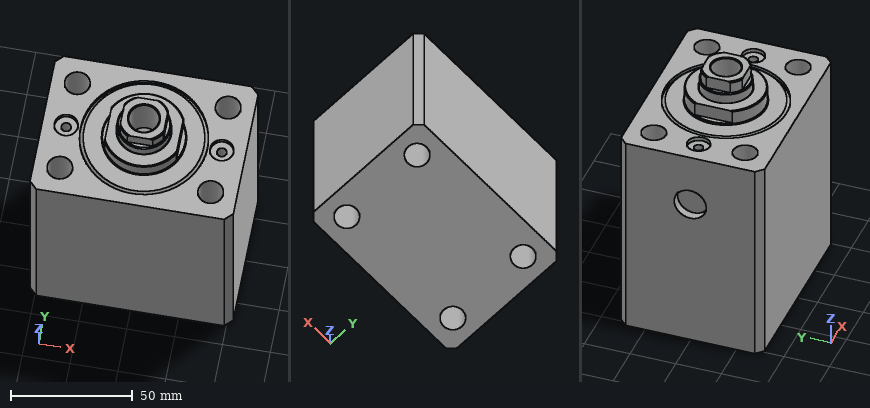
import cadquery as cq
import math

block_length = 85.0
block_width = 63.0
block_height = 93.0
block_corner_chamfer = 3.2

mount_spacing_x = 63.0
mount_spacing_y = 40.0
mount_hole_diameter = 10.5

top_port_spacing = 65.0
top_port_recess_diameter = 9.8
top_port_recess_depth = 1.8
top_port_drill_diameter = 4.0
top_port_total_depth = 10.0

side_port_diameter = 14.0
side_port_depth = 4.0
side_port_drop = 23.9

groove_diameter = 53.0
groove_width = 1.5

shaft_diameter = 35.0
shaft_depth = 20.0
shaft_edge_chamfer = 0.4
collar_diameter = 34.2
collar_top = 6.8
collar_flat_width = 30.0
collar_flat_bottom = 0.8
collar_edge_chamfer = 0.4
insert_hole_countersink = 0.4

neck_diameter = 22.2
neck_top = 11.3
neck_edge_chamfer = 0.5
insert_depth = 14.0
head_top = 16.9
head_square = 18.2
head_corner_diameter = 21.0
head_edge_chamfer = 0.5

socket_diameter = 12.6
socket_rim_chamfer = 0.4
socket_depth = 20.0
socket_tip_angle = 118.0


def axis_cylinder(diameter, bottom, top):
    """Cylinder on the rod axis between two heights above the housing top."""
    return (
        cq.Workplane("XY", origin=(0, 0, block_height + bottom))
        .circle(diameter / 2)
        .extrude(top - bottom)
    )


def axis_bar(size_x, size_y, bottom, top):
    """Rectangular bar on the rod axis between two heights above the housing top."""
    return (
        cq.Workplane("XY", origin=(0, 0, block_height + bottom))
        .rect(size_x, size_y)
        .extrude(top - bottom)
    )


def axis_revolve(points):
    """Solid of revolution about the rod axis from (radius, height above the housing top) points."""
    return (
        cq.Workplane("XZ", origin=(0, 0, block_height))
        .polyline(points)
        .close()
        .revolve(360, (0, 0, 0), (0, 1, 0))
    )


def make_ring_groove():
    outer = groove_diameter / 2
    return axis_revolve([
        (outer, 0),
        (outer, -groove_width),
        (outer - groove_width, 0),
    ])


def make_housing():
    block = (
        cq.Workplane("XY")
        .box(block_length, block_width, block_height, centered=(True, True, False))
        .edges("|Z")
        .chamfer(block_corner_chamfer)
    )
    block = (
        block.faces(">Z")
        .workplane(origin=(0, 0, block_height))
        .rarray(mount_spacing_x, mount_spacing_y, 2, 2)
        .hole(mount_hole_diameter)
    )
    for side in (-1, 1):
        block = (
            block.faces(">Z")
            .workplane(origin=(side * top_port_spacing / 2, 0, block_height))
            .cboreHole(
                top_port_drill_diameter,
                top_port_recess_diameter,
                top_port_recess_depth,
                top_port_total_depth,
            )
        )
    side_port = (
        cq.Workplane("YZ", origin=(-block_length / 2, 0, block_height - side_port_drop))
        .circle(side_port_diameter / 2)
        .extrude(side_port_depth)
    )
    rod_bore = axis_cylinder(shaft_diameter, -shaft_depth, 0)
    return block.cut(side_port).cut(make_ring_groove()).cut(rod_bore)


def make_insert_hole():
    """Blind hole for the insert, countersunk at the top of the collar."""
    radius = neck_diameter / 2
    return axis_revolve([
        (0, -insert_depth),
        (radius, -insert_depth),
        (radius, collar_top - insert_hole_countersink),
        (radius + insert_hole_countersink, collar_top),
        (0, collar_top),
    ])


def make_rod():
    shaft = (
        axis_cylinder(shaft_diameter, -shaft_depth, shaft_edge_chamfer)
        .faces(">Z")
        .chamfer(shaft_edge_chamfer)
    )
    collar_base = axis_cylinder(collar_diameter, 0, collar_flat_bottom)
    collar = (
        axis_cylinder(collar_diameter, collar_flat_bottom, collar_top)
        .faces(">Z")
        .chamfer(collar_edge_chamfer)
        .intersect(axis_bar(collar_flat_width, collar_diameter, collar_flat_bottom, collar_top))
    )
    return shaft.union(collar_base).union(collar).cut(make_insert_hole())


def make_socket():
    """Drilled socket with a conical tip and a chamfered rim."""
    radius = socket_diameter / 2
    floor = head_top - socket_depth
    tip_height = radius / math.tan(math.radians(socket_tip_angle / 2))
    return axis_revolve([
        (0, head_top),
        (radius + socket_rim_chamfer, head_top),
        (radius, head_top - socket_rim_chamfer),
        (radius, floor),
        (0, floor - tip_height),
    ])


def make_insert():
    neck = (
        axis_cylinder(neck_diameter, -insert_depth, neck_top)
        .faces(">Z")
        .chamfer(neck_edge_chamfer)
    )
    head = (
        axis_cylinder(head_corner_diameter, neck_top, head_top)
        .faces(">Z")
        .chamfer(head_edge_chamfer)
        .intersect(axis_bar(head_square, head_square, neck_top, head_top))
    )
    return neck.union(head).cut(make_socket())


housing = make_housing()
rod = make_rod()
insert = make_insert()

result = cq.Compound.makeCompound([body.solids().val() for body in (housing, rod, insert)])